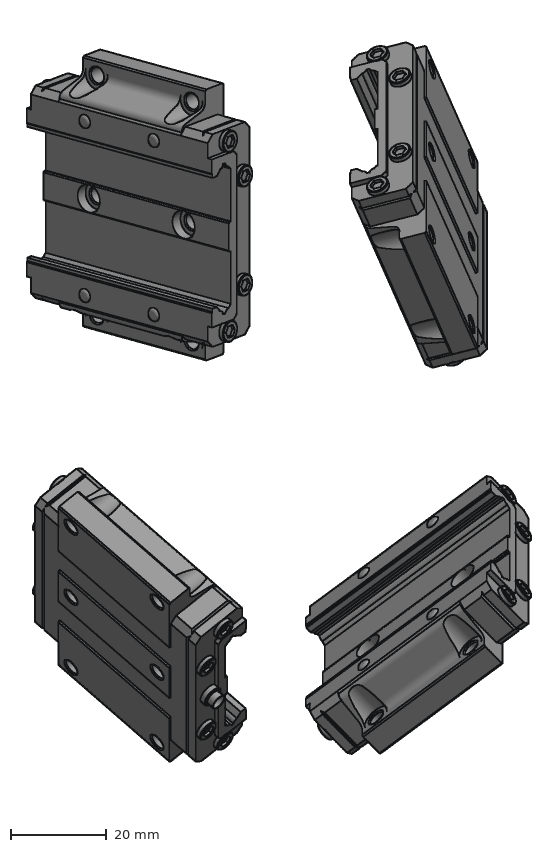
import cadquery as cq
import math


HALF_HEIGHT = 30.0
BODY_DEPTH = 14.0

BLOCK_HALF = 16.8
CAP_HALF = 24.3
SEAL_HALF = 25.45

FLANGE_DEPTH = 5.95
FLANGE_CHAMFER = 0.35
SLOPE_START_Z = 25.8
SLOPE_ANGLE = 15.0
FLANGE_FILLET = 2.0
SHOULDER_DEPTH = 12.4
SHOULDER_ARC_END = (13.55, 22.5)
FRONT_EDGE_Z = 21.95

CAP_BACK = 0.4
CAP_TOP = 23.5
CAP_CHAMFER = 1.55
NOTCH_X = 22.15
NOTCH_SIZE = 0.6

SEAL_BACK = 5.95
SEAL_TOP = 18.6
SEAL_CHAMFER = 0.95

CHANNEL_DEPTH = 7.85
CHANNEL_FLOOR_Z = 14.95
JAW_Z = 14.45
JAW_DEPTH = 12.4
LIP_Z = 15.2
LIP_STEP = 0.2
LIP_RISE = 0.25
RACE_MID_DEPTH = 9.95
RACE_EDGE_Z = 15.65
RACE_EDGE_OFFSET = 1.3
RACE_ARC_OFFSET = 0.7
RACE_ARC_Z = 15.95
RACE_FLOOR_OFFSET = 0.3
RACE_FLOOR_Z = 16.6

RIB_DEPTH = 8.5
RIB_HALF = 3.3
RIB_CHAMFER = 0.3

RECESS_INNER_Z = 5.65
RECESS_OUTER_Z = 13.45
RECESS_DEPTH = 0.4
RECESS_BEVEL = 0.25

HOLE_X = 13.0
HOLE_Z = 26.5
HOLE_RADIUS = 1.75
HOLE_CHAMFER = 0.3
SPOT_FACE_RADIUS = 3.05

PIN_X = 9.5
PIN_Z = 19.25
PIN_RADIUS = 1.5
PIN_TIP_RADIUS = 0.8
PIN_SHOULDER = (1.25, 0.35)
PIN_HEIGHT = 0.55

SCREW_SPOTS = [(8.0, 21.0), (3.05, 12.05)]
SCREW_RADIUS = 2.35
SCREW_CHAMFER = 0.2
HEX_FLATS = 2.5
HEX_DEPTH = 0.7

NIPPLE_DEPTH = 4.15
NIPPLE_TIP_X = 27.4
NIPPLE_RADIUS = 1.75
NIPPLE_BORE_RADIUS = 1.55
NIPPLE_COLLAR_RADIUS = 2.35
NIPPLE_COLLAR_END = 25.75
NIPPLE_COLLAR_CHAMFER = 0.2

CLEARANCE = 3.0


def section(depth, z):
    """Point of a YZ section at a given depth and height."""
    return (-depth, z)


def both_halves(upper):
    """Upper half joined with its mirror image below Z = 0."""
    return upper.union(upper.mirror("XY"))


def centred_prism(outline, half_length):
    return outline.close().extrude(half_length, both=True)


def polygon(points):
    return cq.Workplane("YZ").polyline([section(*point) for point in points])


def end_disc(x, depth, z, radius, length):
    """Cylinder along +X starting at x."""
    return cq.Workplane("YZ", origin=(x, -depth, z)).circle(radius).extrude(length)


def make_block():
    slope = math.radians(SLOPE_ANGLE)
    turn = math.pi / 2 - slope
    tangent = FLANGE_FILLET * math.tan(turn / 2)
    fillet_start = section(FLANGE_DEPTH, SLOPE_START_Z + tangent)
    fillet_end = section(
        FLANGE_DEPTH + tangent * math.cos(slope), SLOPE_START_Z - tangent * math.sin(slope)
    )
    shoulder_z = SLOPE_START_Z - (SHOULDER_DEPTH - FLANGE_DEPTH) * math.tan(slope)
    upper = (
        cq.Workplane("YZ")
        .moveTo(*section(0, 0))
        .lineTo(*section(0, HALF_HEIGHT - FLANGE_CHAMFER))
        .lineTo(*section(FLANGE_CHAMFER, HALF_HEIGHT))
        .lineTo(*section(FLANGE_DEPTH - FLANGE_CHAMFER, HALF_HEIGHT))
        .lineTo(*section(FLANGE_DEPTH, HALF_HEIGHT - FLANGE_CHAMFER))
        .lineTo(*fillet_start)
        .tangentArcPoint(fillet_end, relative=False)
        .lineTo(*section(SHOULDER_DEPTH, shoulder_z))
        .tangentArcPoint(section(*SHOULDER_ARC_END), relative=False)
        .lineTo(*section(BODY_DEPTH, FRONT_EDGE_Z))
        .lineTo(*section(BODY_DEPTH, 0))
    )
    return both_halves(centred_prism(upper, BLOCK_HALF))


def make_caps():
    """End caps with a bevelled notch across the top, bottom and back of each."""
    depth = BODY_DEPTH - CAP_BACK
    caps = (
        cq.Workplane("XY")
        .box(2 * CAP_HALF, depth, 2 * CAP_TOP)
        .edges("|X")
        .chamfer(CAP_CHAMFER)
        .translate((0, -CAP_BACK - depth / 2, 0))
    )
    inner_x = NOTCH_X - NOTCH_SIZE
    top_notch = both_halves(
        cq.Workplane("XZ")
        .polyline([(NOTCH_X, CAP_TOP), (NOTCH_X, CAP_TOP - NOTCH_SIZE), (inner_x, CAP_TOP)])
        .close()
        .extrude(BODY_DEPTH)
    )
    back_notch = (
        cq.Workplane("XY")
        .polyline([(NOTCH_X, -CAP_BACK), (NOTCH_X, -CAP_BACK - NOTCH_SIZE), (inner_x, -CAP_BACK)])
        .close()
        .extrude(CAP_TOP, both=True)
    )
    for notch in (top_notch, back_notch):
        caps = caps.cut(notch).cut(notch.mirror("YZ"))
    return caps


def make_seals():
    upper = polygon([
        (SEAL_BACK, 0),
        (SEAL_BACK, SEAL_TOP - SEAL_CHAMFER),
        (SEAL_BACK + SEAL_CHAMFER, SEAL_TOP),
        (BODY_DEPTH, SEAL_TOP),
        (BODY_DEPTH, 0),
    ])
    return both_halves(centred_prism(upper, SEAL_HALF))


def make_channel():
    """Space for the rail: floor, middle rib, ball races and the stepped jaw lips."""
    near = RACE_MID_DEPTH - RACE_EDGE_OFFSET
    far = RACE_MID_DEPTH + RACE_EDGE_OFFSET
    lip_depth = BODY_DEPTH - LIP_STEP
    open_depth = BODY_DEPTH + CLEARANCE
    upper = (
        cq.Workplane("YZ")
        .moveTo(*section(RIB_DEPTH, 0))
        .lineTo(*section(RIB_DEPTH, RIB_HALF - RIB_CHAMFER))
        .lineTo(*section(RIB_DEPTH - RIB_CHAMFER, RIB_HALF))
        .lineTo(*section(CHANNEL_DEPTH, RIB_HALF))
        .lineTo(*section(CHANNEL_DEPTH, CHANNEL_FLOOR_Z))
        .lineTo(*section(near, RACE_EDGE_Z))
        .threePointArc(
            section(RACE_MID_DEPTH - RACE_ARC_OFFSET, RACE_ARC_Z),
            section(RACE_MID_DEPTH - RACE_FLOOR_OFFSET, RACE_FLOOR_Z),
        )
        .lineTo(*section(RACE_MID_DEPTH + RACE_FLOOR_OFFSET, RACE_FLOOR_Z))
        .threePointArc(
            section(RACE_MID_DEPTH + RACE_ARC_OFFSET, RACE_ARC_Z),
            section(far, RACE_EDGE_Z),
        )
        .lineTo(*section(JAW_DEPTH, JAW_Z))
        .lineTo(*section(lip_depth, JAW_Z))
        .lineTo(*section(lip_depth, LIP_Z))
        .lineTo(*section(BODY_DEPTH, LIP_Z + LIP_RISE))
        .lineTo(*section(open_depth, LIP_Z + LIP_RISE))
        .lineTo(*section(open_depth, 0))
    )
    return both_halves(centred_prism(upper, SEAL_HALF + CLEARANCE))


def make_back_recesses():
    upper = polygon([
        (0, RECESS_INNER_Z),
        (0, RECESS_OUTER_Z),
        (RECESS_DEPTH, RECESS_OUTER_Z - RECESS_BEVEL),
        (RECESS_DEPTH, RECESS_INNER_Z + RECESS_BEVEL),
    ])
    return both_halves(centred_prism(upper, BLOCK_HALF))


def make_mounting_hole(x, z):
    """Through hole with chamfered ends and a spot face level with the flange front."""
    rim = HOLE_RADIUS + HOLE_CHAMFER
    return (
        cq.Workplane("XY")
        .polyline([
            (0, 0),
            (rim, 0),
            (HOLE_RADIUS, -HOLE_CHAMFER),
            (HOLE_RADIUS, -FLANGE_DEPTH + HOLE_CHAMFER),
            (rim, -FLANGE_DEPTH),
            (SPOT_FACE_RADIUS, -FLANGE_DEPTH),
            (SPOT_FACE_RADIUS, -BODY_DEPTH),
            (0, -BODY_DEPTH),
        ])
        .close()
        .revolve(360, (0, 0, 0), (0, 1, 0))
        .translate((x, 0, z))
    )


def make_pin(x, z):
    shoulder_radius, shoulder_height = PIN_SHOULDER
    return (
        cq.Workplane("XY")
        .moveTo(0, CLEARANCE)
        .lineTo(PIN_RADIUS, CLEARANCE)
        .lineTo(PIN_RADIUS, 0)
        .threePointArc((shoulder_radius, -shoulder_height), (PIN_TIP_RADIUS, -PIN_HEIGHT))
        .lineTo(0, -PIN_HEIGHT)
        .close()
        .revolve(360, (0, 0, 0), (0, 1, 0))
        .translate((x, -BODY_DEPTH, z))
    )


def make_screw(depth, z):
    """Socket head on the +X end cap, level with the seal plate."""
    corner_diameter = HEX_FLATS / math.cos(math.pi / 6)
    return (
        end_disc(CAP_HALF, depth, z, SCREW_RADIUS, SEAL_HALF - CAP_HALF)
        .faces(">X")
        .chamfer(SCREW_CHAMFER)
        .faces(">X")
        .workplane(origin=(0, -depth, z))
        .polygon(6, corner_diameter)
        .cutBlind(-HEX_DEPTH)
    )


def make_nipple():
    """Thin open tube standing on a collar at the -X end."""
    collar_length = NIPPLE_COLLAR_END - CAP_HALF
    tube_length = NIPPLE_TIP_X - CAP_HALF
    collar = (
        end_disc(CAP_HALF, NIPPLE_DEPTH, 0, NIPPLE_COLLAR_RADIUS, collar_length)
        .faces(">X")
        .chamfer(NIPPLE_COLLAR_CHAMFER)
    )
    tube = end_disc(CAP_HALF, NIPPLE_DEPTH, 0, NIPPLE_RADIUS, tube_length)
    bore = end_disc(CAP_HALF, NIPPLE_DEPTH, 0, NIPPLE_BORE_RADIUS, tube_length)
    return collar.union(tube).cut(bore).mirror("YZ")


result = make_block().union(make_caps()).union(make_seals())
result = result.cut(make_channel()).cut(make_back_recesses())

for hole_x in (-HOLE_X, HOLE_X):
    for hole_z in (-HOLE_Z, 0, HOLE_Z):
        result = result.cut(make_mounting_hole(hole_x, hole_z))

for pin_x in (-PIN_X, PIN_X):
    for pin_z in (-PIN_Z, PIN_Z):
        result = result.union(make_pin(pin_x, pin_z))

for screw_depth, screw_z in SCREW_SPOTS:
    for side in (-1, 1):
        screw = make_screw(screw_depth, side * screw_z)
        result = result.union(screw).union(screw.mirror("YZ"))

result = result.union(make_nipple())